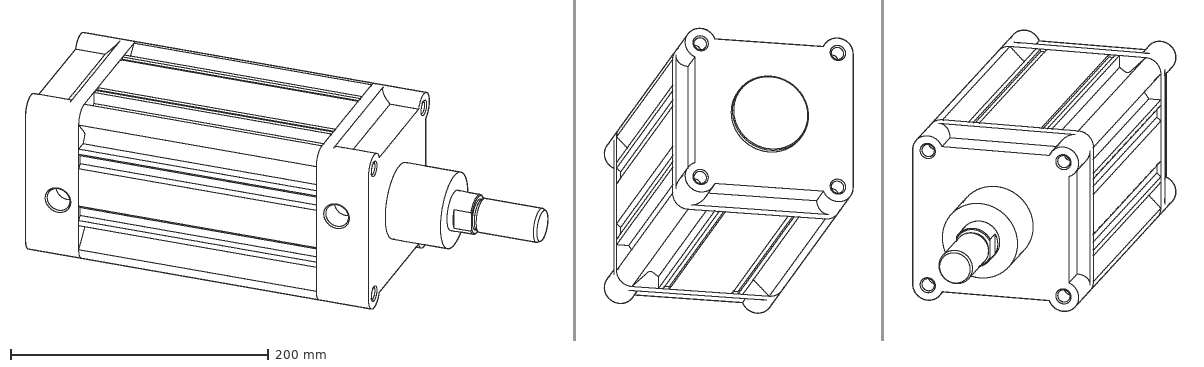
import cadquery as cq
import math


overall_length = 410.0
body_width = 134.0
corner_radius = 12.5
rear_boss_length = 5.5
rear_cap_length = 44.3
tube_length = 197.5
front_cap_length = 43.5
front_boss_length = 46.0
boss_diameter = 60.5

rear_boss_chamfer = 1.0
mount_hole_diameter = 10.0
mount_hole_depth = 20.5
port_diameter = 19.0
port_depth = 20.5
rear_port_inset = 27.0
front_port_inset = 26.5
hole_edge_chamfer = 1.2
port_offset = 14.5
recess_depth = 7.8
rear_recess_floor = 24.5
front_recess_floor = 23.8
rear_recess_run = 8.0
front_recess_run = 10.0

channel_inner = 33.5
channel_slope_end = 38.0
channel_fillet_end = 42.2
facet_angle = 45.0
floor_slope = 35.0
side_groove_floor = (19.3, 26.2)
side_groove_mouth = (16.5, 29.0)
side_groove_depth = 3.3
top_groove_edges = (25.0, 30.0)
top_groove_depth = 2.0

rod_diameter = 32.0
flat_section_diameter = 31.5
across_flats = 27.0
neck_diameter = 24.5
thread_diameter = 27.0
rod_collar_length = 3.5
rod_step_length = 1.2
flat_length = 14.8
rod_edge_chamfer = 1.0
neck_length = 1.5
thread_lead_in = 2.0
thread_end_chamfer = 2.5
thread_end_diameter = 24.5

clearance = 4.0

half_width = body_width / 2
corner_center = half_width - corner_radius
rear_face = rear_boss_length
tube_start = rear_face + rear_cap_length
tube_end = tube_start + tube_length
front_face = tube_end + front_cap_length
boss_end = front_face + front_boss_length
corner_points = [(sy * corner_center, sz * corner_center) for sy in (-1, 1) for sz in (-1, 1)]


def cross_section(x):
    """Plane across the axis at x, with local axes along Y and Z."""
    return cq.Workplane("YZ", origin=(x, 0, 0))


def cylinder(x, length, diameter):
    return cross_section(x).circle(diameter / 2).extrude(length)


def rounded_block(x, length):
    return cross_section(x).rect(body_width, body_width).extrude(length).edges("|X").fillet(corner_radius)


def chamfered_hole(diameter, depth):
    """Cutter for a blind hole that runs from the origin along +Z, with a chamfered mouth."""
    radius = diameter / 2
    return (
        cq.Workplane("XZ")
        .polyline([
            (0, 0),
            (radius + hole_edge_chamfer, 0),
            (radius, hole_edge_chamfer),
            (radius, depth),
            (0, depth),
        ])
        .close()
        .revolve(360, (0, 0, 0), (0, 1, 0))
    )


def cap_recess(x, length, outer_face, inward, floor_length, slope_run):
    """Cutter for the recess on +Z, with a sloped end and a round post left at each side."""
    slope_start = outer_face + inward * floor_length
    slope_end = slope_start + inward * slope_run
    ramp_rise = slope_run / recess_depth * clearance
    lengthwise = (
        cq.Workplane("XZ", origin=(0, half_width, 0))
        .polyline([
            (outer_face - inward * clearance, half_width - recess_depth),
            (slope_start, half_width - recess_depth),
            (slope_end + inward * ramp_rise, half_width + clearance),
            (outer_face - inward * clearance, half_width + clearance),
        ])
        .close()
        .extrude(body_width)
    )
    post_drop = corner_radius - recess_depth
    floor_half = corner_center - math.sqrt(corner_radius**2 - post_drop**2)
    arc_mid = corner_radius * math.sqrt(0.5)
    floor_height = half_width - recess_depth
    crosswise = (
        cross_section(x - clearance)
        .moveTo(-corner_center, half_width + clearance)
        .lineTo(-corner_center, half_width)
        .threePointArc((-corner_center + arc_mid, corner_center + arc_mid), (-floor_half, floor_height))
        .lineTo(floor_half, floor_height)
        .threePointArc((corner_center - arc_mid, corner_center + arc_mid), (corner_center, half_width))
        .lineTo(corner_center, half_width + clearance)
        .close()
        .extrude(length + 2 * clearance)
    )
    return lengthwise.intersect(crosswise)


def cap_block(x, length, outer_face, inward, floor_length, slope_run):
    """Cap with recesses on +Y, +Z and -Z and a mounting hole in each corner post."""
    recess = cap_recess(x, length, outer_face, inward, floor_length, slope_run)
    block = rounded_block(x, length)
    for angle in (0, -90, 180):
        block = block.cut(recess.rotate((0, 0, 0), (1, 0, 0), angle))
    for y, z in corner_points:
        hole = chamfered_hole(mount_hole_diameter, mount_hole_depth).rotate((0, 0, 0), (0, 1, 0), 90 * inward)
        block = block.cut(hole.translate((outer_face, y, z)))
    return block


def port(x, z):
    """Air port entering the -Y face."""
    hole = chamfered_hole(port_diameter, port_depth).rotate((0, 0, 0), (1, 0, 0), -90)
    return hole.translate((x, -half_width, z))


def make_rear_cap():
    block = cap_block(rear_face, rear_cap_length, rear_face, 1, rear_recess_floor, rear_recess_run)
    boss = cylinder(0, rear_boss_length, boss_diameter).faces("<X").chamfer(rear_boss_chamfer)
    return block.union(boss).cut(port(rear_face + rear_port_inset, -port_offset))


def make_front_cap():
    block = cap_block(tube_end, front_cap_length, front_face, -1, front_recess_floor, front_recess_run)
    boss = cylinder(front_face, front_boss_length, boss_diameter)
    rod_bore = cylinder(tube_end, boss_end - tube_end, rod_diameter)
    return block.union(boss).cut(port(front_face - front_port_inset, port_offset)).cut(rod_bore)


def channel(side):
    """Channel between a corner rib and the shelf, on the +Z side."""
    facet_tilt = math.radians(facet_angle)
    tilt = math.radians(floor_slope)
    facet_drop = (corner_center - channel_fillet_end) * math.tan(facet_tilt)
    fillet_width = channel_fillet_end - channel_slope_end
    fillet_radius = fillet_width / (math.sin(facet_tilt) + math.sin(tilt))
    facet_end = half_width - facet_drop
    arc_center = (
        channel_fillet_end - fillet_radius * math.sin(facet_tilt),
        facet_end + fillet_radius * math.cos(facet_tilt),
    )
    arc_bottom = (arc_center[0], arc_center[1] - fillet_radius)
    slope_end = (channel_slope_end, arc_center[1] - fillet_radius * math.cos(tilt))
    wall_foot = slope_end[1] + (channel_slope_end - channel_inner) * math.tan(tilt)
    return (
        cross_section(tube_start)
        .moveTo(side * corner_center, half_width)
        .lineTo(side * channel_fillet_end, facet_end)
        .threePointArc((side * arc_bottom[0], arc_bottom[1]), (side * slope_end[0], slope_end[1]))
        .lineTo(side * channel_inner, wall_foot)
        .lineTo(side * channel_inner, half_width)
        .close()
        .extrude(tube_length)
    )


def groove(side, mouth, floor, depth):
    """Straight groove along the tube on the +Z side."""
    bottom = half_width - depth
    return (
        cross_section(tube_start)
        .polyline([
            (side * mouth[0], half_width),
            (side * floor[0], bottom),
            (side * floor[1], bottom),
            (side * mouth[1], half_width),
        ])
        .close()
        .extrude(tube_length)
    )


def make_tube():
    tube = rounded_block(tube_start, tube_length)
    for quarter in range(4):
        for side in (-1, 1):
            if quarter % 2 == 0:
                slot = groove(side, top_groove_edges, top_groove_edges, top_groove_depth)
            else:
                slot = groove(side, side_groove_mouth, side_groove_floor, side_groove_depth)
            for cutter in (channel(side), slot):
                tube = tube.cut(cutter.rotate((0, 0, 0), (1, 0, 0), 90 * quarter))
    return tube


def make_rod():
    step_start = boss_end + rod_collar_length
    flat_start = step_start + rod_step_length
    flat_end = flat_start + flat_length
    neck_end = flat_end + neck_length
    rod = (
        cq.Workplane("XY")
        .moveTo(tube_end, 0)
        .lineTo(tube_end, rod_diameter / 2)
        .lineTo(step_start, rod_diameter / 2)
        .lineTo(flat_start, flat_section_diameter / 2)
        .lineTo(flat_end - rod_edge_chamfer, flat_section_diameter / 2)
        .lineTo(flat_end, flat_section_diameter / 2 - rod_edge_chamfer)
        .lineTo(flat_end, neck_diameter / 2)
        .lineTo(neck_end, neck_diameter / 2)
        .lineTo(neck_end + thread_lead_in, thread_diameter / 2)
        .lineTo(overall_length - thread_end_chamfer, thread_diameter / 2)
        .lineTo(overall_length, thread_end_diameter / 2)
        .lineTo(overall_length, 0)
        .close()
        .revolve(360, (0, 0, 0), (1, 0, 0))
    )
    flat_depth = (rod_diameter - across_flats) / 2
    for side in (-1, 1):
        flat_cutter = cq.Workplane("XY").box(flat_length, flat_depth, rod_diameter).translate(
            (flat_start + flat_length / 2, side * (across_flats + flat_depth) / 2, 0)
        )
        rod = rod.cut(flat_cutter)
    return rod


rear_cap = make_rear_cap()
tube = make_tube()
front_cap = make_front_cap()
rod = make_rod()

result = cq.Compound.makeCompound([rear_cap.val(), tube.val(), front_cap.val(), rod.val()])